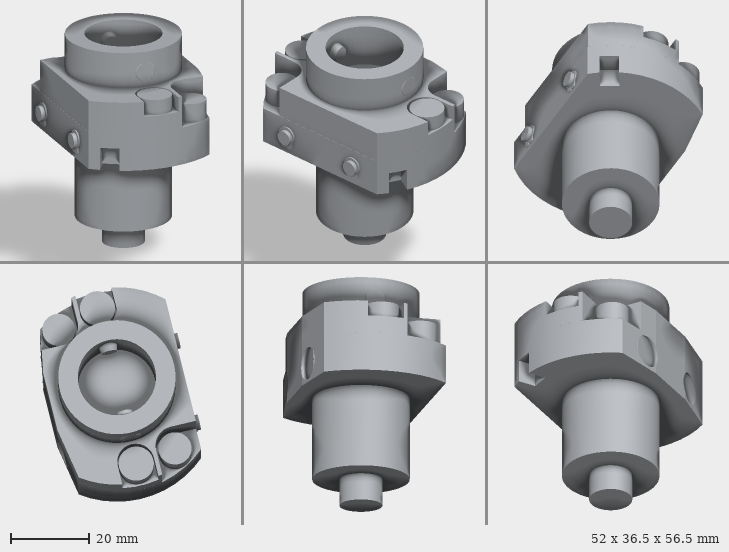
import cadquery as cq
import math

SHAFT_BOTTOM = 7.0
FLANGE_BOTTOM = 28.5
JOINT = 38.5
FLANGE_TOP = 47.0
COLLAR_TOP = 56.5
BORE_FLOOR = 45.0

PILOT_DIAMETER = 11.0
SHAFT_DIAMETER = 25.0
COLLAR_DIAMETER = 30.0
BORE_DIAMETER = 20.0

FLANGE_RADIUS = 26.0
FLAT_Y = 17.5
SOCKET_SETBACK = 0.05
BACK_FLAT_HALF_LENGTH = 7.7
BACK_SLOPE_ANGLE = 10.0

CORNER_SCREW_DIAMETER = 8.5
CORNER_SCREW_TOP = 43.5
CORNER_SCREW_CIRCLE_RADIUS = 21.5
CORNER_SCREW_ANGLES = (30.0, 210.0)
CORNER_POCKET_RADIUS = 5.0

SIDE_SCREW_DIAMETER = 9.0
SIDE_SCREW_X = 21.0
SIDE_SLOT_WIDTH = 9.5
SIDE_SLOT_CENTER_X = 20.5
SIDE_SLOT_FLOOR = 43.0

SET_SCREW_Z = 51.0
SET_SCREW_TIP_X = 8.0
SET_SCREW_TIP_DIAMETER = 4.0
SET_SCREW_CONE_LENGTH = 4.0
SET_SCREW_DIAMETER = 6.0
SET_SCREW_END_DIAMETER = 5.0

PIN_X = 11.0
PIN_Z = (FLANGE_BOTTOM + JOINT) / 2
PIN_DIAMETER = 4.0
PIN_FRONT_Y = 19.0
PIN_HEAD_DIAMETER = 8.5
PIN_HEAD_Y = 16.4

CLIP_DIAMETER = 5.0
CLIP_RISE = 0.3
CLIP_THICKNESS = 0.4
CLIP_LUG_WIDTH = 1.7
CLIP_LUG_DROP = 3.4
CLIP_LUG_FILLET = 0.55
CLIP_NECK_FILLET = 0.3

NOTCH_ANGLE = -30.0
NOTCH_WIDTH = 5.0
NOTCH_DEPTH = 5.0
NOTCH_TOP = 34.5


def cylinder(diameter, bottom, top, x=0.0, y=0.0):
    """Upright cylinder between two heights."""
    return cq.Workplane("XY", origin=(x, y, bottom)).circle(diameter / 2).extrude(top - bottom)


def lengthwise_cylinder(diameter, start_y, end_y, x, z):
    """Cylinder parallel to Y, from start_y forward to the smaller end_y."""
    return cq.Workplane("XZ", origin=(x, start_y, z)).circle(diameter / 2).extrude(start_y - end_y)


def flange(bottom, top, front_y):
    """Disc cut by a front flat and by a back made of a flat and two sloping faces."""
    front_corner_x = math.sqrt(FLANGE_RADIUS**2 - front_y**2)
    slope = math.radians(BACK_SLOPE_ANGLE)
    slope_distance = BACK_FLAT_HALF_LENGTH * math.sin(slope) + FLAT_Y * math.cos(slope)
    back_corner_angle = math.pi / 2 - slope - math.acos(slope_distance / FLANGE_RADIUS)
    back_corner_x = FLANGE_RADIUS * math.cos(back_corner_angle)
    back_corner_y = FLANGE_RADIUS * math.sin(back_corner_angle)
    return (
        cq.Workplane("XY", origin=(0, 0, bottom))
        .moveTo(-front_corner_x, front_y)
        .lineTo(front_corner_x, front_y)
        .threePointArc((FLANGE_RADIUS, 0), (back_corner_x, back_corner_y))
        .lineTo(BACK_FLAT_HALF_LENGTH, FLAT_Y)
        .lineTo(-BACK_FLAT_HALF_LENGTH, FLAT_Y)
        .lineTo(-back_corner_x, back_corner_y)
        .threePointArc((-FLANGE_RADIUS, 0), (-front_corner_x, front_y))
        .close()
        .extrude(top - bottom)
    )


def corner_screw_position(angle):
    """X and Y of the corner screw at the given angle."""
    return (
        CORNER_SCREW_CIRCLE_RADIUS * math.cos(math.radians(angle)),
        CORNER_SCREW_CIRCLE_RADIUS * math.sin(math.radians(angle)),
    )


def clip(x):
    """Retaining clip lying on the front flat: a ring with two rounded lugs below."""
    plane = cq.Workplane("XZ", origin=(x, -FLAT_Y, PIN_Z))
    shape = plane.center(0, CLIP_RISE).circle(CLIP_DIAMETER / 2).extrude(CLIP_THICKNESS)
    for side in (-1, 1):
        lug = (
            plane.center(side * CLIP_LUG_WIDTH / 2, -CLIP_LUG_DROP / 2)
            .rect(CLIP_LUG_WIDTH, CLIP_LUG_DROP)
            .extrude(CLIP_THICKNESS)
            .edges("|Y and <Z")
            .fillet(CLIP_LUG_FILLET)
        )
        shape = shape.union(lug)
    neck_drop = math.sqrt((CLIP_DIAMETER / 2) ** 2 - CLIP_LUG_WIDTH**2) - CLIP_RISE
    for side in (-1, 1):
        neck = (x + side * CLIP_LUG_WIDTH, -FLAT_Y - CLIP_THICKNESS / 2, PIN_Z - neck_drop)
        shape = shape.edges(cq.selectors.NearestToPointSelector(neck)).fillet(CLIP_NECK_FILLET)
    return shape


def key_notch():
    """Radial notch, open at the rim and at the underside of the flange."""
    height = NOTCH_TOP - FLANGE_BOTTOM
    return (
        cq.Workplane("XY", origin=(0, 0, FLANGE_BOTTOM))
        .center(FLANGE_RADIUS, 0)
        .rect(2 * NOTCH_DEPTH, NOTCH_WIDTH)
        .extrude(height)
        .rotate((0, 0, 0), (0, 0, 1), NOTCH_ANGLE)
    )


def make_holder():
    """Lower body: shaft, pilot and flange with its corner screws and clipped cross pins."""
    body = flange(FLANGE_BOTTOM, JOINT, -FLAT_Y)
    body = body.union(cylinder(SHAFT_DIAMETER, SHAFT_BOTTOM, FLANGE_BOTTOM))
    body = body.union(cylinder(PILOT_DIAMETER, 0, SHAFT_BOTTOM))
    body = body.cut(key_notch())
    for angle in CORNER_SCREW_ANGLES:
        x, y = corner_screw_position(angle)
        body = body.union(cylinder(CORNER_SCREW_DIAMETER, JOINT, CORNER_SCREW_TOP, x, y))
    for x in (-PIN_X, PIN_X):
        body = body.cut(lengthwise_cylinder(PIN_HEAD_DIAMETER, FLAT_Y, PIN_HEAD_Y, x, PIN_Z))
        body = body.union(lengthwise_cylinder(PIN_HEAD_DIAMETER, PIN_HEAD_Y, 0, x, PIN_Z))
        body = body.union(lengthwise_cylinder(PIN_DIAMETER, 0, -PIN_FRONT_Y, x, PIN_Z))
        body = body.union(clip(x))
    return body


def corner_pocket(angle):
    """Pocket through the upper flange, open to the outside beyond the corner screw."""
    screw_x, screw_y = corner_screw_position(angle)
    reach = FLANGE_RADIUS
    offset = reach / 2 - CORNER_POCKET_RADIUS
    center_x = screw_x + math.copysign(offset, screw_x)
    center_y = screw_y + math.copysign(offset, screw_y)
    return (
        cq.Workplane("XY", origin=(center_x, center_y, JOINT))
        .rect(reach, reach)
        .extrude(FLANGE_TOP - JOINT)
        .edges("|Z")
        .edges(cq.selectors.NearestToPointSelector((0, 0, (JOINT + FLANGE_TOP) / 2)))
        .fillet(CORNER_POCKET_RADIUS)
    )


def side_slot(side):
    """Slot with a round inner end, open at the rim."""
    height = FLANGE_TOP - SIDE_SLOT_FLOOR
    straight_length = FLANGE_RADIUS - SIDE_SLOT_CENTER_X
    round_end = cylinder(SIDE_SLOT_WIDTH, SIDE_SLOT_FLOOR, FLANGE_TOP, side * SIDE_SLOT_CENTER_X)
    straight = (
        cq.Workplane("XY", origin=(side * (SIDE_SLOT_CENTER_X + straight_length / 2), 0, SIDE_SLOT_FLOOR))
        .rect(straight_length, SIDE_SLOT_WIDTH)
        .extrude(height)
    )
    return round_end.union(straight)


def set_screw(side):
    """Set screw with a conical tip toward the axis and a 45 degree chamfer on its outer end."""
    end_x = COLLAR_DIAMETER / 2
    chamfer = (SET_SCREW_DIAMETER - SET_SCREW_END_DIAMETER) / 2
    return (
        cq.Workplane("XY", origin=(0, 0, SET_SCREW_Z))
        .moveTo(side * SET_SCREW_TIP_X, 0)
        .lineTo(side * SET_SCREW_TIP_X, SET_SCREW_TIP_DIAMETER / 2)
        .lineTo(side * (SET_SCREW_TIP_X + SET_SCREW_CONE_LENGTH), SET_SCREW_DIAMETER / 2)
        .lineTo(side * (end_x - chamfer), SET_SCREW_DIAMETER / 2)
        .lineTo(side * end_x, SET_SCREW_END_DIAMETER / 2)
        .lineTo(side * end_x, 0)
        .close()
        .revolve(360, (0, 0, 0), (1, 0, 0))
    )


def make_socket():
    """Upper body: flange and bored collar with its side screws and set screws."""
    body = flange(JOINT, FLANGE_TOP, -FLAT_Y + SOCKET_SETBACK)
    body = body.union(cylinder(COLLAR_DIAMETER, FLANGE_TOP, COLLAR_TOP))
    body = body.cut(cylinder(BORE_DIAMETER, BORE_FLOOR, COLLAR_TOP))
    for angle in CORNER_SCREW_ANGLES:
        body = body.cut(corner_pocket(angle))
    for side in (-1, 1):
        body = body.cut(side_slot(side))
        body = body.union(
            cylinder(SIDE_SCREW_DIAMETER, SIDE_SLOT_FLOOR, FLANGE_TOP, side * SIDE_SCREW_X)
        )
        body = body.union(set_screw(side))
    return body


holder = make_holder()
socket = make_socket()

result = cq.Compound.makeCompound([holder.val(), socket.val()])